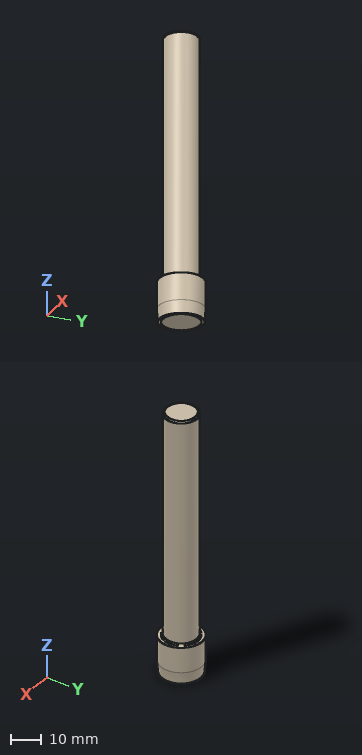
import cadquery as cq

total_length = 100.0
shaft_radius = 6.0
tip_chamfer = 0.6
base_radius = 6.6
base_height = 14.0

sleeve_diameter = 15.9
foot_diameter = 15.2
taper_height = 4.5
shoulder_height = 14.1
crown_height = 14.5


def make_pin():
    """Round shaft with a chamfered tip, standing on a wider round base."""
    shaft = cq.Workplane("XY").circle(shaft_radius).extrude(total_length)
    shaft = shaft.faces(">Z").chamfer(tip_chamfer)
    base = cq.Workplane("XY").circle(base_radius).extrude(base_height)
    return shaft.union(base)


def make_sleeve():
    """Sleeve with a tapered foot, a sloping crown and a stepped bore that fits the pin."""
    profile = (
        cq.Workplane("YZ")
        .moveTo(base_radius, 0)
        .lineTo(foot_diameter / 2, 0)
        .lineTo(sleeve_diameter / 2, taper_height)
        .lineTo(sleeve_diameter / 2, shoulder_height)
        .lineTo(shaft_radius, crown_height)
        .lineTo(shaft_radius, base_height)
        .lineTo(base_radius, base_height)
        .close()
    )
    return profile.revolve(360, (0, 0, 0), (0, 1, 0))


pin = make_pin()
sleeve = make_sleeve()

result = cq.Compound.makeCompound([pin.val(), sleeve.val()])